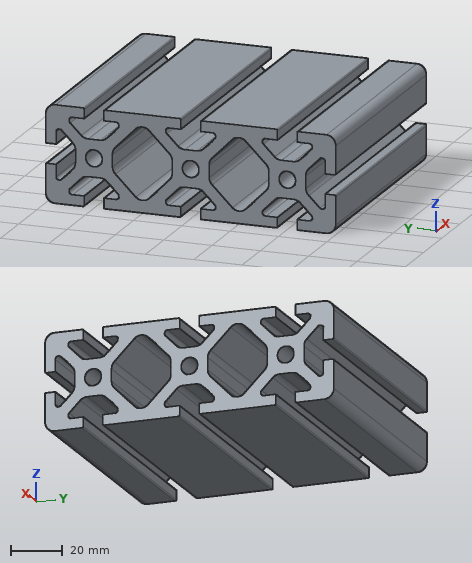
import cadquery as cq
import math

bar_length = 100.0
bar_width = 120.0
cell_count = 3
outer_corner_radius = 4.0

slot_depth = 12.4
slot_opening = 8.2
lip_thickness = 4.3
lip_edge_radius = 0.5
slot_tip_radius = 1.3
slot_floor_radius = 4.0

web_thickness = 4.9
core_bore_diameter = 6.8
chamber_radius = 4.0

end_clearance = 1.2
edge_match_tolerance = 0.0001

pitch = bar_width / cell_count
half_pitch = pitch / 2
core_half = half_pitch - slot_depth
web_offset = web_thickness / math.sqrt(2)
core_flat_half = core_half - web_offset
half_cut_length = bar_length / 2 + end_clearance
first_centre = (pitch - bar_width) / 2
cell_centres = [first_centre + index * pitch for index in range(cell_count)]
chamber_centres = [centre + half_pitch for centre in cell_centres[:-1]]


def prism(points):
    """Extrude a closed Y-Z outline along X, through the whole bar."""
    return cq.Workplane("YZ").polyline(points).close().extrude(half_cut_length, both=True)


def round_edges(body, points, radius):
    """Fillet the lengthwise edges that pass through the given Y-Z points."""

    def is_wanted(edge):
        middle = edge.Center()
        return any(math.hypot(middle.y - y, middle.z - z) < edge_match_tolerance for y, z in points)

    return body.edges("|X").filter(is_wanted).fillet(radius)


def turn(body, angle):
    """Turn a body about the X axis."""
    return body.rotate((0, 0, 0), (1, 0, 0), angle)


def make_slot():
    """T-slot in the top face of a cell centred on the origin."""
    ceiling = half_pitch - lip_thickness
    ceiling_half = ceiling - web_offset
    floor_corners = [(-core_flat_half, core_half), (core_flat_half, core_half)]
    tips = [(ceiling_half, ceiling), (-ceiling_half, ceiling)]
    cavity = prism(floor_corners + tips)
    cavity = round_edges(cavity, tips, slot_tip_radius)
    cavity = round_edges(cavity, floor_corners, slot_floor_radius)

    mouth_half = slot_opening / 2
    flare_half = mouth_half + lip_edge_radius
    flare_start = half_pitch - lip_edge_radius
    arc_inset = lip_edge_radius * (1 - math.sqrt(0.5))
    mouth = (
        cq.Workplane("YZ")
        .moveTo(-mouth_half, ceiling)
        .lineTo(mouth_half, ceiling)
        .lineTo(mouth_half, flare_start)
        .threePointArc((mouth_half + arc_inset, half_pitch - arc_inset), (flare_half, half_pitch))
        .lineTo(-flare_half, half_pitch)
        .threePointArc((-mouth_half - arc_inset, half_pitch - arc_inset), (-mouth_half, flare_start))
        .close()
        .extrude(half_cut_length, both=True)
    )
    return cavity.union(mouth)


def make_chamber():
    """Six-sided hollow with rounded corners, centred on the origin."""
    side = half_pitch - core_half
    peak = half_pitch - web_offset
    corners = [
        (0, peak),
        (side, core_flat_half),
        (side, -core_flat_half),
        (0, -peak),
        (-side, -core_flat_half),
        (-side, core_flat_half),
    ]
    return round_edges(prism(corners), corners, chamber_radius)


result = cq.Workplane("XY").box(bar_length, bar_width, pitch)
result = result.edges("|X").fillet(outer_corner_radius)

top_slot = make_slot()
bottom_slot = turn(top_slot, 180)
core_bore = cq.Workplane("YZ").circle(core_bore_diameter / 2).extrude(half_cut_length, both=True)
for centre in cell_centres:
    for cutter in (top_slot, bottom_slot, core_bore):
        result = result.cut(cutter.translate((0, centre, 0)))

result = result.cut(turn(top_slot, 90).translate((0, cell_centres[0], 0)))
result = result.cut(turn(top_slot, -90).translate((0, cell_centres[-1], 0)))

chamber = make_chamber()
for centre in chamber_centres:
    result = result.cut(chamber.translate((0, centre, 0)))